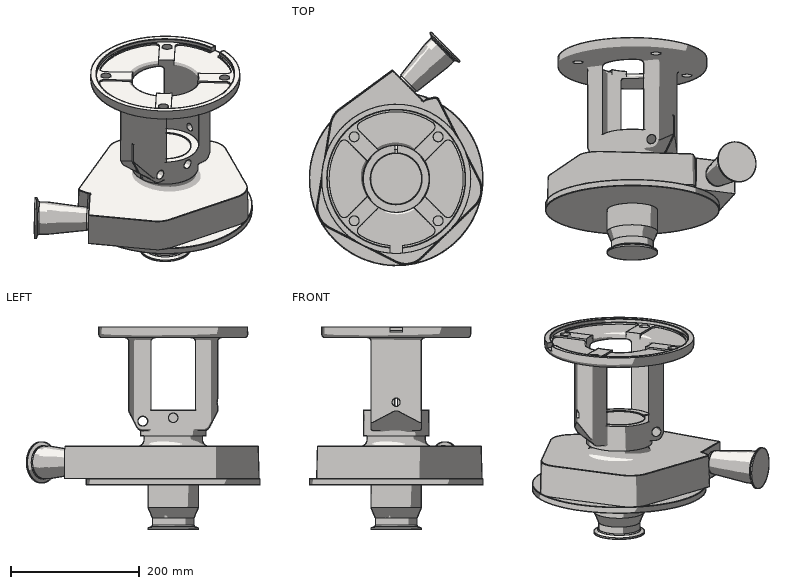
import cadquery as cq
import math


EDGE_BREAK = 0.8
MARGIN = 0.5
SURFACE_TOLERANCE = 0.01

INLET_FERRULE_R = 39.25
INLET_NECK_R = 32.5
INLET_PIPE_R = 39.25
INLET_NECK_TOP_Z = 18.0
INLET_CONE_TOP_Z = 34.2
FERRULE_RIM = 2.7
FERRULE_HEIGHT = 7.0
FERRULE_SHOULDER_HEIGHT = 5.0
FERRULE_SHOULDER_STEP = 1.0

PLATE_R = 135.0
PLATE_BOTTOM_Z = 69.2
PLATE_TOP_Z = 79.3

CASING_TOP_Z = 129.6
CASING_DRAFT_DEG = 1.3
CASING_LEFT_TOP = (-100.3, 99.7)
CASING_LEFT_BOTTOM = (-127.2, -65.0)
CASING_BOTTOM = (21.6, -141.0)
CASING_RIGHT = (141.3, -24.3)
CASING_SHOULDER = (64.0, 127.9)
CASING_NOTCH = (40.7, 122.5)
CASING_OUTLET_TIP = (-6.3, 168.7)
CASING_CORNERS = (CASING_LEFT_TOP, CASING_LEFT_BOTTOM, CASING_BOTTOM, CASING_RIGHT)
CASING_CORNER_R = 35.0
CASING_SHOULDER_R = 7.0
OUTLET_FACE_ALLOWANCE = 6.0

OUTLET_ANGLE_DEG = 45.0
OUTLET_OFFSET = 90.9
OUTLET_FACE_DISTANCE = 115.3
OUTLET_CONE_START = 118.6
OUTLET_CONE_END = 179.5
OUTLET_END = 199.4
OUTLET_STUB_R = 16.5
OUTLET_CONE_START_R = 18.0
OUTLET_PIPE_R = 25.2
OUTLET_FERRULE_R = 32.0
OUTLET_ROOT_DEPTH = 10.0

NECK_R = 45.5
NECK_BASE_FILLET = 9.9
COLLAR_R = 51.0
COLLAR_BOTTOM_Z = 145.7
COLLAR_TOP_Z = 185.4
SHAFT_R = 39.5
SHAFT_RECESS = 1.5
COLLAR_HOLE_R = 7.3
COLLAR_HOLE_Z = 173.6
SLIT_WIDTH = 3.8
SLIT_TOP_Z = 215.0

FLANGE_R = 115.7
FLANGE_BOTTOM_Z = 297.8
FLANGE_TOP_Z = 314.5
FLANGE_EDGE_FILLET = 5.4
SPIGOT_R = 107.0
PAD_Z = 309.0
POCKET_Z = 306.5
POCKET_R = 104.0
POCKET_CORNER_R = 8.0
BORE_R = 52.0
BORE_FILLET = 5.7
PAD_WIDTH = 24.3
FIRST_PAD_DEG = 45.0
BOLT_CIRCLE_R = 92.1
BOLT_HOLE_R = 7.7
KEYWAY_WIDTH = 19.0

LEG_HALF_WIDTH = 39.1
LEG_RIDGE_Y = 69.2
LEG_RIDGE_HALF_WIDTH = 2.9
LEG_SLOPE_DEG = 15.0
LEG_EDGE_FILLET = 3.0
LEG_BOTTOM_Z = 154.0
LEG_FOOT_FILLET = 10.0
LEG_BEVEL_TOP_Z = 184.0
LEG_BEVEL_DEG = 27.0
LEG_ROOT_FILLET = 5.5
COLLAR_BLEND_FILLET = 3.0
CLAMP_HOLE_R = 7.4
CLAMP_HOLE_Y = 47.2
CLAMP_HOLE_Z = 168.4
ACCESS_HOLE_R = 6.3
ACCESS_HOLE_Z = 197.7


def cylinder(radius, bottom_z, top_z):
    return cq.Workplane("XY").workplane(offset=bottom_z).circle(radius).extrude(top_z - bottom_z)


def ferrule_points(rim_r, neck_r):
    """Half profile (radius, distance from the end face) of a clamp ferrule, from rim to neck."""
    return [
        (rim_r, 0),
        (rim_r, FERRULE_RIM),
        (neck_r + FERRULE_SHOULDER_STEP, FERRULE_SHOULDER_HEIGHT),
        (neck_r, FERRULE_HEIGHT),
    ]


def edge_break_cone(radius, top_z):
    """Cone that breaks the top edge of a round recess of the given radius."""
    bottom = cq.Workplane("XY").workplane(offset=top_z - EDGE_BREAK).circle(radius)
    return bottom.workplane(offset=EDGE_BREAK).circle(radius + EDGE_BREAK).loft()


def make_inlet():
    profile = [(0, 0)] + ferrule_points(INLET_FERRULE_R, INLET_NECK_R) + [
        (INLET_NECK_R, INLET_NECK_TOP_Z),
        (INLET_PIPE_R, INLET_CONE_TOP_Z),
        (INLET_PIPE_R, PLATE_TOP_Z),
        (0, PLATE_TOP_Z),
    ]
    return cq.Workplane("XZ").polyline(profile).close().revolve(360, (0, 0), (0, 1))


def make_plate():
    return cylinder(PLATE_R, PLATE_BOTTOM_Z, PLATE_TOP_Z).edges().chamfer(EDGE_BREAK)


def outlet_frame(height):
    """Plane at the given height with local X along the outlet direction."""
    angle = math.radians(OUTLET_ANGLE_DEG)
    return cq.Plane(origin=(0, 0, height), xDir=(math.cos(angle), math.sin(angle), 0), normal=(0, 0, 1))


def make_casing():
    """Drafted polygonal body with rounded corners and an undrafted outlet face."""
    angle = math.radians(OUTLET_ANGLE_DEG)
    step = (OUTLET_FACE_ALLOWANCE * math.cos(angle), OUTLET_FACE_ALLOWANCE * math.sin(angle))
    raised_notch = (CASING_NOTCH[0] + step[0], CASING_NOTCH[1] + step[1])
    left_slope = (CASING_OUTLET_TIP[1] - CASING_LEFT_TOP[1]) / (CASING_OUTLET_TIP[0] - CASING_LEFT_TOP[0])
    tip_shift = OUTLET_FACE_ALLOWANCE / (math.cos(angle) + left_slope * math.sin(angle))
    raised_tip = (CASING_OUTLET_TIP[0] + tip_shift, CASING_OUTLET_TIP[1] + left_slope * tip_shift)
    outline = [
        CASING_LEFT_TOP,
        CASING_LEFT_BOTTOM,
        CASING_BOTTOM,
        CASING_RIGHT,
        CASING_SHOULDER,
        CASING_NOTCH,
        raised_notch,
        raised_tip,
    ]
    height = CASING_TOP_Z - PLATE_TOP_Z
    base = cq.Workplane("XY").workplane(offset=PLATE_TOP_Z)
    casing = base.polyline(outline).close().extrude(height, taper=CASING_DRAFT_DEG)
    corner_radii = [(corner, CASING_CORNER_R) for corner in CASING_CORNERS]
    corner_radii.append((CASING_SHOULDER, CASING_SHOULDER_R))
    for (x, y), radius in corner_radii:
        middle = (x, y, PLATE_TOP_Z + height / 2)
        casing = casing.edges(cq.NearestToPointSelector(middle)).fillet(radius)

    notch_offset = CASING_NOTCH[1] * math.cos(angle) - CASING_NOTCH[0] * math.sin(angle)
    trim_depth = 3 * OUTLET_FACE_ALLOWANCE
    trim = (
        cq.Workplane(outlet_frame(PLATE_TOP_Z))
        .center(OUTLET_FACE_DISTANCE, notch_offset - OUTLET_FACE_ALLOWANCE / 2)
        .rect(trim_depth, PLATE_R, centered=False)
        .extrude(height)
    )
    return casing.cut(trim).faces(">Z").edges().chamfer(EDGE_BREAK)


def make_outlet():
    profile = [
        (OUTLET_FACE_DISTANCE - OUTLET_ROOT_DEPTH, 0),
        (OUTLET_FACE_DISTANCE - OUTLET_ROOT_DEPTH, OUTLET_STUB_R),
        (OUTLET_CONE_START, OUTLET_STUB_R),
        (OUTLET_CONE_START, OUTLET_CONE_START_R),
        (OUTLET_CONE_END, OUTLET_PIPE_R),
    ]
    for radius, distance in reversed(ferrule_points(OUTLET_FERRULE_R, OUTLET_PIPE_R)):
        profile.append((OUTLET_END - distance, radius))
    profile.append((OUTLET_END, 0))
    axis_height = (PLATE_TOP_Z + CASING_TOP_Z) / 2
    return (
        cq.Workplane(outlet_frame(axis_height))
        .center(0, OUTLET_OFFSET)
        .polyline(profile)
        .close()
        .revolve(360, (0, 0), (1, 0))
    )


def make_neck():
    fillet_top_z = CASING_TOP_Z + NECK_BASE_FILLET
    foot_r = NECK_R + NECK_BASE_FILLET
    diagonal = NECK_BASE_FILLET * math.sqrt(0.5)
    return (
        cq.Workplane("XZ")
        .moveTo(0, PLATE_TOP_Z)
        .lineTo(NECK_R, PLATE_TOP_Z)
        .lineTo(foot_r, CASING_TOP_Z)
        .threePointArc((foot_r - diagonal, fillet_top_z - diagonal), (NECK_R, fillet_top_z))
        .lineTo(NECK_R, COLLAR_BOTTOM_Z)
        .lineTo(0, COLLAR_BOTTOM_Z)
        .close()
        .revolve(360, (0, 0), (0, 1))
    )


def box_selector(half_width, y_range, z_range):
    return cq.selectors.BoxSelector(
        (-half_width, y_range[0], z_range[0]),
        (half_width, y_range[1], z_range[1]),
    )


def make_leg():
    """Leg on the -Y side with a ridged outer face, a bevelled foot and rounded edges."""
    side_drop = (LEG_HALF_WIDTH - LEG_RIDGE_HALF_WIDTH) * math.tan(math.radians(LEG_SLOPE_DEG))
    side_y = -LEG_RIDGE_Y + side_drop
    outline = [
        (-LEG_HALF_WIDTH, 0),
        (-LEG_HALF_WIDTH, side_y),
        (-LEG_RIDGE_HALF_WIDTH, -LEG_RIDGE_Y),
        (LEG_RIDGE_HALF_WIDTH, -LEG_RIDGE_Y),
        (LEG_HALF_WIDTH, side_y),
        (LEG_HALF_WIDTH, 0),
    ]
    leg = (
        cq.Workplane("XY")
        .workplane(offset=LEG_BOTTOM_Z)
        .polyline(outline)
        .close()
        .extrude(FLANGE_BOTTOM_Z - LEG_BOTTOM_Z)
    )
    bevel_height = LEG_BEVEL_TOP_Z - LEG_BOTTOM_Z
    bevel_foot_y = -LEG_RIDGE_Y + bevel_height * math.tan(math.radians(LEG_BEVEL_DEG))
    bevel = (
        cq.Workplane("YZ")
        .polyline([
            (-LEG_RIDGE_Y, LEG_BEVEL_TOP_Z),
            (-LEG_RIDGE_Y, LEG_BOTTOM_Z),
            (bevel_foot_y, LEG_BOTTOM_Z),
        ])
        .close()
        .extrude(LEG_HALF_WIDTH, both=True)
    )
    leg = leg.cut(bevel)
    foot_edge = cq.NearestToPointSelector((0, bevel_foot_y, LEG_BOTTOM_Z))
    leg = leg.edges(foot_edge).fillet(LEG_FOOT_FILLET)

    y_range = (-LEG_RIDGE_Y - MARGIN, -MARGIN)
    z_range = (LEG_BOTTOM_Z - MARGIN, FLANGE_BOTTOM_Z - MARGIN)
    all_edges = box_selector(LEG_HALF_WIDTH + MARGIN, y_range, z_range)
    middle_edges = box_selector(LEG_HALF_WIDTH - MARGIN, y_range, z_range)
    return leg.edges(all_edges - middle_edges).fillet(LEG_EDGE_FILLET)


def blend_collar(frame):
    """Fillet the seams where the legs meet the side of the collar."""
    seam = []
    for edge in frame.edges().vals():
        box = edge.BoundingBox()
        in_height = LEG_BOTTOM_Z - MARGIN < box.zmin < COLLAR_TOP_Z - MARGIN
        in_width = box.xmax < LEG_HALF_WIDTH + MARGIN
        middle = edge.positionAt(0.5)
        on_collar = abs(math.hypot(middle.x, middle.y) - COLLAR_R) < SURFACE_TOLERANCE
        if in_height and in_width and on_collar:
            seam.append(edge)
    return frame.newObject(seam).fillet(COLLAR_BLEND_FILLET)


def make_frame():
    """Collar and flange disc joined by the two legs, with blended joints and the shaft bore."""
    front_leg = make_leg()
    legs = front_leg.union(front_leg.mirror("XZ"))
    bore = cylinder(BORE_R, COLLAR_TOP_Z, FLANGE_TOP_Z)
    disc = cylinder(FLANGE_R, FLANGE_BOTTOM_Z, FLANGE_TOP_Z)
    disc = disc.faces("<Z").edges().fillet(FLANGE_EDGE_FILLET)
    frame = legs.union(disc).cut(bore)
    seam_r = LEG_RIDGE_Y + MARGIN
    seam_box = box_selector(seam_r, (-seam_r, seam_r), (FLANGE_BOTTOM_Z - MARGIN, FLANGE_BOTTOM_Z + MARGIN))
    frame = frame.edges(seam_box).edges("not %CIRCLE").fillet(LEG_ROOT_FILLET)
    return blend_collar(frame.union(cylinder(COLLAR_R, COLLAR_BOTTOM_Z, COLLAR_TOP_Z)))


def make_pads(bottom_z, top_z):
    """Diagonal cross of bars that keep the four bolt pads standing between the pockets."""
    bar = (
        cq.Workplane("XY")
        .workplane(offset=bottom_z)
        .rect(2 * FLANGE_R, PAD_WIDTH)
        .extrude(top_z - bottom_z)
        .rotate((0, 0, 0), (0, 0, 1), FIRST_PAD_DEG)
    )
    return bar.union(bar.rotate((0, 0, 0), (0, 0, 1), 90))


def is_outer_corner(edge):
    """True beside the pads' outer ends, which alone lie beyond the bore in both X and Y."""
    center = edge.Center()
    return min(abs(center.x), abs(center.y)) > BORE_R


def make_pockets():
    """Four annular pockets between the pads, with rounded outer corners."""
    ring = cylinder(POCKET_R, POCKET_Z, PAD_Z).cut(cylinder(BORE_R, POCKET_Z, PAD_Z))
    pockets = ring.cut(make_pads(POCKET_Z, PAD_Z))
    corners = pockets.edges("|Z").filter(is_outer_corner)
    return corners.fillet(POCKET_CORNER_R)


def make_bore_lip():
    """Ring removed to round the bore edge at the pocket floors, interrupted by the pads."""
    outer_r = BORE_R + BORE_FILLET
    foot_z = POCKET_Z - BORE_FILLET
    diagonal = BORE_FILLET * math.sqrt(0.5)
    ring = (
        cq.Workplane("XZ")
        .moveTo(BORE_R, foot_z)
        .threePointArc((outer_r - diagonal, foot_z + diagonal), (outer_r, POCKET_Z))
        .lineTo(BORE_R, POCKET_Z)
        .close()
        .revolve(360, (0, 0), (0, 1))
    )
    return ring.cut(make_pads(foot_z, POCKET_Z))


def cut_flange(frame):
    """Cut the spigot recess, pockets, bore lip, keyway and bolt holes."""
    spigot = cylinder(SPIGOT_R, PAD_Z, FLANGE_TOP_Z)
    spigot = spigot.union(edge_break_cone(SPIGOT_R, FLANGE_TOP_Z))
    keyway = (
        cq.Workplane("XY")
        .workplane(offset=POCKET_Z)
        .center(0, -POCKET_R)
        .rect(KEYWAY_WIDTH, 2 * (FLANGE_R - POCKET_R) + MARGIN)
        .extrude(FLANGE_TOP_Z - POCKET_Z)
    )
    bolt_holes = (
        cq.Workplane("XY")
        .workplane(offset=FLANGE_BOTTOM_Z)
        .polarArray(BOLT_CIRCLE_R, FIRST_PAD_DEG, 360, 4)
        .circle(BOLT_HOLE_R)
        .extrude(FLANGE_TOP_Z - FLANGE_BOTTOM_Z)
    )
    return frame.cut(spigot).cut(make_pockets()).cut(make_bore_lip()).cut(keyway).cut(bolt_holes)


def cut_collar(frame):
    """Cut the shaft end recess, rear clamping slit, and the clamp screw, collar and access holes."""
    recess = cylinder(SHAFT_R, COLLAR_TOP_Z - SHAFT_RECESS, COLLAR_TOP_Z)
    recess = recess.union(edge_break_cone(SHAFT_R, COLLAR_TOP_Z))
    slit_end_y = LEG_RIDGE_Y + MARGIN
    slit = (
        cq.Workplane("XY")
        .workplane(offset=COLLAR_BOTTOM_Z)
        .center(0, slit_end_y / 2)
        .rect(SLIT_WIDTH, slit_end_y)
        .extrude(SLIT_TOP_Z - COLLAR_BOTTOM_Z)
        .cut(cylinder(SHAFT_R, COLLAR_BOTTOM_Z, SLIT_TOP_Z))
    )
    clamp_hole = (
        cq.Workplane("YZ")
        .center(CLAMP_HOLE_Y, CLAMP_HOLE_Z)
        .circle(CLAMP_HOLE_R)
        .extrude(COLLAR_R, both=True)
    )
    collar_hole = (
        cq.Workplane("YZ")
        .workplane(offset=-COLLAR_R)
        .center(0, COLLAR_HOLE_Z)
        .circle(COLLAR_HOLE_R)
        .extrude(COLLAR_R - SHAFT_R)
    )
    access_hole = (
        cq.Workplane("XZ")
        .center(0, ACCESS_HOLE_Z)
        .circle(ACCESS_HOLE_R)
        .extrude(LEG_RIDGE_Y)
    )
    return frame.cut(recess).cut(slit).cut(clamp_hole).cut(collar_hole).cut(access_hole)


result = (
    cut_collar(cut_flange(make_frame()))
    .union(make_inlet())
    .union(make_plate())
    .union(make_casing())
    .union(make_outlet())
    .union(make_neck())
)